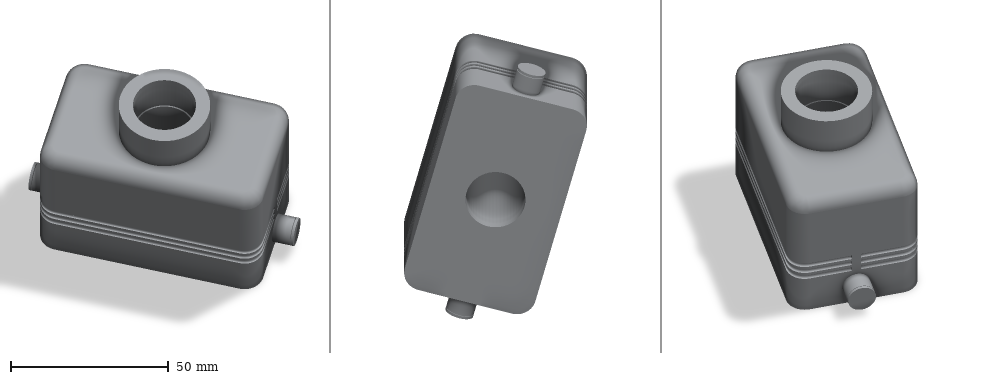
import cadquery as cq

overall_length = 87.0
body_length = 73.1
body_width = 43.0
body_height = 45.1
corner_radius = 6.1
top_round = 4.2

overall_height = 58.0
collar_height = overall_height - body_height
collar_diameter = 29.1
collar_bore = 20.0
lower_bore = 19.05

pin_diameter = 9.1
pin_axis_height = 7.0
pin_length = (overall_length - body_length) / 2
pin_root = 0.9
pin_cap_length = 0.9
pin_slit_width = 0.2
pin_neck_diameter = 1.7

groove_count = 3
groove_pitch = 2.5
groove_width = 1.5
groove_depth = 1.05
groove_overrun = 0.4
middle_groove_height = 16.4
land_width = 3.0


def make_body():
    """Block with rounded upright corners and a rounded top rim."""
    block = cq.Workplane("XY").box(body_length, body_width, body_height, centered=(True, True, False))
    return block.edges("|Z").fillet(corner_radius).faces(">Z").edges().fillet(top_round)


def make_collar():
    return cq.Workplane("XY", origin=(0, 0, body_height)).circle(collar_diameter / 2).extrude(collar_height)


def make_bore():
    """Bore through the whole part, wider over the height of the collar."""
    through = cq.Workplane("XY").circle(lower_bore / 2).extrude(overall_height)
    counterbore = cq.Workplane("XY", origin=(0, 0, body_height)).circle(collar_bore / 2).extrude(collar_height)
    return through.union(counterbore)


def make_pin():
    """Pin on the +X end, with a narrow slit that sets off its end cap."""
    start = body_length / 2 - pin_root
    shank_length = pin_root + pin_length - pin_cap_length - pin_slit_width
    return (
        cq.Workplane("YZ", origin=(start, 0, pin_axis_height))
        .circle(pin_diameter / 2)
        .extrude(shank_length)
        .faces(">X")
        .workplane()
        .circle(pin_neck_diameter / 2)
        .extrude(pin_slit_width)
        .faces(">X")
        .workplane()
        .circle(pin_diameter / 2)
        .extrude(pin_cap_length)
    )


def make_groove(height):
    """Round-bottomed groove swept around the body outline, minus the end-face lands."""
    band = cq.Workplane("XY", origin=(0, 0, height)).rect(body_length, body_width).extrude(groove_width)
    path = band.edges("|Z").fillet(corner_radius).faces("<Z").wires()
    half_width = groove_width / 2
    round_start = groove_depth - half_width
    profile = (
        cq.Workplane("YZ", origin=(0, -body_width / 2, height))
        .moveTo(-groove_overrun, -half_width)
        .lineTo(round_start, -half_width)
        .threePointArc((groove_depth, 0), (round_start, half_width))
        .lineTo(-groove_overrun, half_width)
        .close()
    )
    lands = cq.Workplane("XY").box(overall_length, land_width, overall_height * 2)
    return profile.sweep(path, transition="right").cut(lands)


pin = make_pin()
result = make_body().union(make_collar()).union(pin).union(pin.mirror("YZ")).cut(make_bore())
for index in range(groove_count):
    offset = (index - (groove_count - 1) / 2) * groove_pitch
    result = result.cut(make_groove(middle_groove_height + offset))